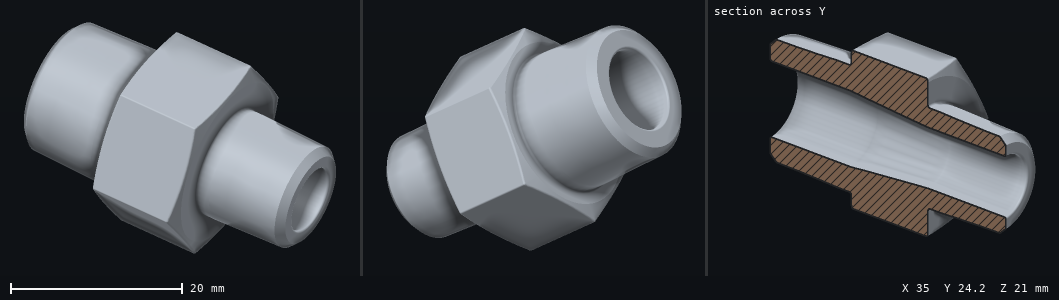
import cadquery as cq
import math

total_length = 35.0
hex_start = 12.0
hex_end = 23.45
center_x = total_length / 2

across_flats = 21.0
bearing_face_diameter = 20.02
hex_chamfer_angle = 15.0
cone_clearance = 0.35
edge_radius = 0.25
root_radius = 0.28

taper = 1 / 16
end_chamfer = 0.9
large_diameter = 16.9
large_taper_start = 10.05
small_diameter = 13.4
small_taper_start = 25.25

large_bore_diameter = 10.0
small_bore_diameter = 8.0
bore_edge_radius = 0.28


def revolve_about_x(profile):
    """Turn a closed (x, radius) profile around the X axis."""
    return profile.close().revolve(360, (0, 0, 0), (1, 0, 0))


def hex_body():
    """Hexagon with flats facing +Z and -Z, coned at both faces and with rounded edges."""
    length = hex_end - hex_start
    corner_radius = across_flats / math.sqrt(3)
    prism = (
        cq.Workplane("YZ", origin=(hex_start, 0, 0))
        .polygon(6, 2 * corner_radius)
        .extrude(length)
        .edges("|X")
        .fillet(edge_radius)
    )
    face_radius = bearing_face_diameter / 2
    cone_radius = corner_radius + cone_clearance
    cone_depth = (cone_radius - face_radius) * math.tan(math.radians(hex_chamfer_angle))
    coned_envelope = revolve_about_x(
        cq.Workplane("XY")
        .moveTo(hex_start, 0)
        .lineTo(hex_start, face_radius)
        .lineTo(hex_start + cone_depth, cone_radius)
        .lineTo(hex_end - cone_depth, cone_radius)
        .lineTo(hex_end, face_radius)
        .lineTo(hex_end, 0)
    )
    body = prism.intersect(coned_envelope)
    return body.faces("#X").edges("not |X").fillet(edge_radius)


def threaded_end(end_x, hex_x, taper_start, diameter):
    """Tapered stub from the hexagon face at hex_x to the chamfered tip at end_x."""
    outward = math.copysign(1, end_x - hex_x)
    radius = diameter / 2
    shoulder_x = end_x - outward * end_chamfer
    shoulder_radius = radius - abs(shoulder_x - taper_start) * taper / 2
    return revolve_about_x(
        cq.Workplane("XY")
        .moveTo(center_x, 0)
        .lineTo(center_x, radius + root_radius)
        .lineTo(hex_x, radius + root_radius)
        .radiusArc((hex_x + outward * root_radius, radius), -outward * root_radius)
        .lineTo(taper_start, radius)
        .lineTo(shoulder_x, shoulder_radius)
        .lineTo(end_x, shoulder_radius - end_chamfer)
        .lineTo(end_x, 0)
    )


def through_bore():
    """Bore that narrows conically inside the hexagon, with a rounded mouth at each end."""
    wide = large_bore_diameter / 2
    narrow = small_bore_diameter / 2
    return revolve_about_x(
        cq.Workplane("XY")
        .lineTo(0, wide + bore_edge_radius)
        .radiusArc((bore_edge_radius, wide), -bore_edge_radius)
        .lineTo(hex_start, wide)
        .lineTo(hex_end, narrow)
        .lineTo(total_length - bore_edge_radius, narrow)
        .radiusArc((total_length, narrow + bore_edge_radius), -bore_edge_radius)
        .lineTo(total_length, 0)
    )


large_end = threaded_end(0, hex_start, large_taper_start, large_diameter)
small_end = threaded_end(total_length, hex_end, small_taper_start, small_diameter)
result = hex_body().union(large_end).union(small_end).cut(through_bore())